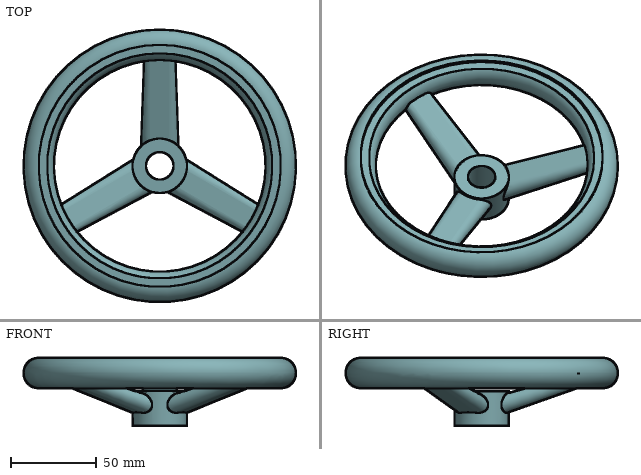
import cadquery as cq
import math

wheel_diameter = 160.0
wheel_height = 40.0
rim_bar_radius = 9.0
rim_step_depth = 1.5
rim_center_radius = wheel_diameter / 2 - rim_bar_radius
rim_center_height = wheel_height - rim_bar_radius

hub_diameter = 32.0
hub_height = 20.4
bore_diameter = 16.0

spoke_count = 3
first_spoke_angle = 90.0
spoke_flat_width = 11.0
spoke_hub_thickness = 12.0
spoke_rim_thickness = 7.0
spoke_start_height = 8.7


def make_rim():
    step_height = rim_bar_radius - rim_step_depth
    step_width = math.sqrt(rim_bar_radius**2 - step_height**2)
    axis_x = -rim_center_radius
    return (
        cq.Workplane("YZ", origin=(0, rim_center_radius, rim_center_height))
        .moveTo(-rim_bar_radius, 0)
        .radiusArc((-step_width, step_height), rim_bar_radius)
        .lineTo(0, step_height)
        .lineTo(0, rim_bar_radius)
        .radiusArc((rim_bar_radius, 0), rim_bar_radius)
        .threePointArc((0, -rim_bar_radius), (-rim_bar_radius, 0))
        .close()
        .revolve(360, (axis_x, 0), (axis_x, 1))
    )


def make_hub():
    return cq.Workplane("XY").circle(hub_diameter / 2).extrude(hub_height)


def make_spoke():
    """Spoke along +X, rising from the hub axis to the center of the rim bar."""
    rise = rim_center_height - spoke_start_height
    length = math.hypot(rim_center_radius, rise)
    start_plane = cq.Plane(
        origin=(0, 0, spoke_start_height),
        xDir=(0, 1, 0),
        normal=(rim_center_radius, 0, rise),
    )
    return (
        cq.Workplane(start_plane)
        .slot2D(spoke_flat_width + spoke_hub_thickness, spoke_hub_thickness)
        .workplane(offset=length)
        .slot2D(spoke_flat_width + spoke_rim_thickness, spoke_rim_thickness)
        .loft(ruled=True)
    )


def make_bore():
    return cq.Workplane("XY").circle(bore_diameter / 2).extrude(wheel_height)


wheel = make_rim().union(make_hub())
spoke = make_spoke()
for index in range(spoke_count):
    angle = first_spoke_angle + index * 360 / spoke_count
    wheel = wheel.union(spoke.rotate((0, 0, 0), (0, 0, 1), angle))

result = wheel.cut(make_bore())